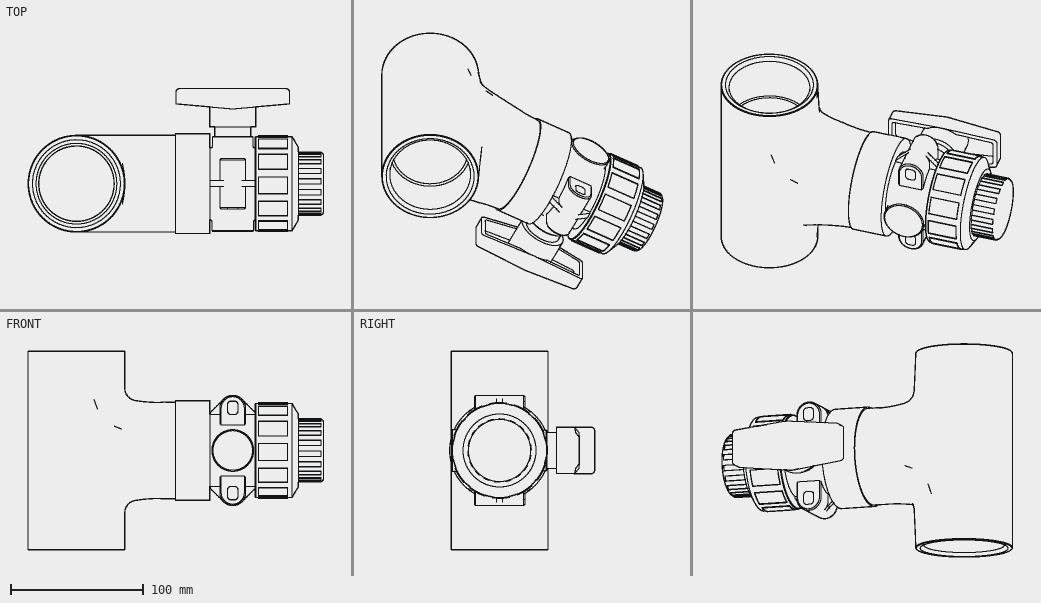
import cadquery as cq
import math


RUN_LENGTH = 149.86
PIPE_RADIUS = 36.5
BORE_RADIUS = 28.3
SOCKET_RADIUS = 30.4
SOCKET_DEPTH = 36.5
LEAD_IN_RADIUS = 33.1
LEAD_IN_DEPTH = 2.5
RIM_CHAMFER = 0.5
BRANCH_END_X = 74.4

CROTCH_START_Z = RUN_LENGTH / 2 - RIM_CHAMFER
SIDE_CORNER = (19.2, 22.0)
SIDE_BEND_LENGTH = 10.0
CROTCH_RADIUS = 8.5
CROTCH_TOP_Z = 37.9
CROTCH_SWEEP = 82.0
CROTCH_TAPER_END_X = 62.0
CROTCH_STEPS = 6
CROTCH_OVERLAP = 5.0

OVERALL_LENGTH = 222.48
VALVE_END_X = OVERALL_LENGTH - PIPE_RADIUS
COLLAR_RADIUS = 37.6
COLLAR_END_X = 100.4
BODY_RADIUS = 27.1
STEM_X = 117.65

NUT_START_X = 134.5
NUT_CONE_START_X = 162.3
NUT_END_X = 167.1
NUT_RADIUS = 35.5
NUT_END_RADIUS = 27.5
NUT_CHAMFER = 0.5
NUT_PAD_COUNT = 12
NUT_PAD_ANGLE = 20.5
NUT_PAD_PHASE = 2.0
NUT_PAD_START_X = 137.0
NUT_PAD_END_X = 159.0
NUT_PAD_RADIUS = 36.1

TAIL_RADIUS = 23.4
TAIL_FILLET = 2.0
TAIL_RIB_COUNT = 18
TAIL_RIB_PHASE = 6.0
TAIL_RIB_RADIUS = 23.9
TAIL_RIB_END_X = VALVE_END_X - TAIL_FILLET

BOSS_RADIUS = 15.7
BOSS_END_Y = -36.1
BOSS_CHAMFER = 0.8
BOSS_DISH_RADIUS = 12.9
BOSS_DISH_EDGE_RADIUS = 11.6
BOSS_DISH_EDGE_DEPTH = 0.4
BOSS_DISH_FLOOR_RADIUS = 10.4
BOSS_DISH_DEPTH = 0.6
BOSS_ROOT_FILLET = 1.8
BONNET_RADIUS = 15.3
BONNET_END_Y = 35.6
BONNET_CHAMFER = 0.5
BONNET_ROOT_FILLET = 1.0
STEM_RADIUS = 13.7
HUB_RADIUS = 17.5
HUB_START_Y = 42.8

OVERALL_DEPTH = 109.31
HANDLE_TOP_Y = OVERALL_DEPTH - COLLAR_RADIUS
HANDLE_LENGTH = 85.8
HANDLE_MID_WIDTH = 35.6
HANDLE_END_WIDTH = 26.6
HANDLE_END_Y = 60.0
HANDLE_MID_Y = 56.2
HANDLE_FILLET = 3.0
HANDLE_MID_FILLET = 22.0
HANDLE_WALL = 3.0
HANDLE_POCKET_FILLET = 2.0

LUG_RADIUS = 9.7
LUG_CENTRE_Z = 31.8
LUG_CHAMFER = 1.0
LUG_SLOT_Z = 32.1
LUG_LENGTH = 38.0
LUG_SLOT_WIDTH = 7.8
LUG_SLOT_HEIGHT = 9.8
LUG_SLOT_CORNER = 2.5
WEB_THICKNESS = 4.6

JOINT_OVERLAP = 1.0

Y_AXIS = cq.Vector(0, 1, 0)


def cylinder_x(radius, start_x, end_x):
    return cq.Workplane("YZ", origin=(start_x, 0, 0)).circle(radius).extrude(end_x - start_x)


def cylinder_y(radius, start_y, end_y):
    solid = cq.Solid.makeCylinder(radius, end_y - start_y, cq.Vector(STEM_X, start_y, 0), Y_AXIS)
    return cq.Workplane(solid)


def ring_sector_x(inner, outer, start_x, end_x, mid_angle, span):
    """Block between two radii about X, centred on mid_angle measured from +Y towards +Z."""

    def point(radius, angle):
        return (radius * math.cos(math.radians(angle)), radius * math.sin(math.radians(angle)))

    first = mid_angle - span / 2
    last = mid_angle + span / 2
    return (
        cq.Workplane("YZ", origin=(start_x, 0, 0))
        .moveTo(*point(inner, first))
        .lineTo(*point(outer, first))
        .threePointArc(point(outer, mid_angle), point(outer, last))
        .lineTo(*point(inner, last))
        .close()
        .extrude(end_x - start_x)
    )


def between(start, end, share):
    """Point at the given share of the way from start to end."""
    return tuple((1 - share) * a + share * b for a, b in zip(start, end))


def crotch_stations():
    """Pairs of (side, middle) XZ points; each pair carries one half-ellipse of the crotch skin."""
    side_top = (0, CROTCH_START_Z)
    side_tip = (BRANCH_END_X, 0)
    middle_top = (PIPE_RADIUS, CROTCH_START_Z)
    middle_tip = (BRANCH_END_X, PIPE_RADIUS)
    bend_centre = (PIPE_RADIUS + CROTCH_RADIUS, CROTCH_TOP_Z + CROTCH_RADIUS)
    bend_start = between(SIDE_CORNER, side_top, SIDE_BEND_LENGTH / math.dist(SIDE_CORNER, side_top))
    bend_end = between(SIDE_CORNER, side_tip, SIDE_BEND_LENGTH / math.dist(SIDE_CORNER, side_tip))
    taper_end_share = (CROTCH_TAPER_END_X - bend_end[0]) / (BRANCH_END_X - bend_end[0])
    side_taper_end = between(bend_end, side_tip, taper_end_share)
    shares = [step / CROTCH_STEPS for step in range(CROTCH_STEPS + 1)]

    middle_bend_start = (PIPE_RADIUS, bend_centre[1])
    stations = [
        (between(side_top, bend_start, share), between(middle_top, middle_bend_start, share))
        for share in shares
    ]
    for share in shares[1:]:
        side = between(
            between(bend_start, SIDE_CORNER, share), between(SIDE_CORNER, bend_end, share), share
        )
        angle = math.radians(180 + share * CROTCH_SWEEP)
        middle = (
            bend_centre[0] + CROTCH_RADIUS * math.cos(angle),
            bend_centre[1] + CROTCH_RADIUS * math.sin(angle),
        )
        stations.append((side, middle))
    taper_x, taper_z = stations[-1][1]
    for share in shares[1:]:
        side = between(bend_end, side_taper_end, share)
        middle_x = taper_x + share * (CROTCH_TAPER_END_X - taper_x)
        middle_z = PIPE_RADIUS + (taper_z - PIPE_RADIUS) * (1 - share) ** 2
        stations.append((side, (middle_x, middle_z)))
    stations.append((side_tip, middle_tip))
    return stations


def crotch_section(side, middle):
    """Half-ellipse bulging from the side line to the middle, with a strip reaching into the core."""
    reach = cq.Vector(middle[0] - side[0], 0, middle[1] - side[1])
    plane = cq.Plane(
        origin=(side[0], 0, side[1]), xDir=reach.normalized(), normal=reach.cross(Y_AXIS).normalized()
    )
    return (
        cq.Workplane(plane)
        .moveTo(-CROTCH_OVERLAP, -PIPE_RADIUS)
        .lineTo(0, -PIPE_RADIUS)
        .ellipseArc(reach.Length, PIPE_RADIUS, -90, 90, startAtCurrent=True)
        .lineTo(-CROTCH_OVERLAP, PIPE_RADIUS)
        .close()
        .val()
    )


def make_tee():
    sections = [crotch_section(side, middle) for side, middle in crotch_stations()]
    quadrant = cq.Workplane("XY").box(
        BRANCH_END_X, 2 * PIPE_RADIUS, CROTCH_START_Z, centered=(False, True, False)
    )
    crotch = cq.Workplane(cq.Solid.makeLoft(sections)).intersect(quadrant)

    corner_x, corner_z = SIDE_CORNER
    core = (
        cq.Workplane("XZ")
        .polyline([
            (0, CROTCH_START_Z),
            (corner_x, corner_z),
            (BRANCH_END_X, 0),
            (corner_x, -corner_z),
            (0, -CROTCH_START_Z),
        ])
        .close()
        .extrude(PIPE_RADIUS, both=True)
    )
    run = cq.Workplane("XY").circle(PIPE_RADIUS).extrude(RUN_LENGTH / 2, both=True)
    run = run.faces("<Z or >Z").chamfer(RIM_CHAMFER)
    return run.union(core).union(crotch).union(crotch.mirror("XY"))


def run_bore():
    half = RUN_LENGTH / 2
    ledge_z = half - SOCKET_DEPTH
    lead_in_z = half - LEAD_IN_DEPTH
    return (
        cq.Workplane("XZ")
        .polyline([
            (0, -half),
            (LEAD_IN_RADIUS, -half),
            (SOCKET_RADIUS, -lead_in_z),
            (SOCKET_RADIUS, -ledge_z),
            (BORE_RADIUS, -ledge_z),
            (BORE_RADIUS, ledge_z),
            (SOCKET_RADIUS, ledge_z),
            (SOCKET_RADIUS, lead_in_z),
            (LEAD_IN_RADIUS, half),
            (0, half),
        ])
        .close()
        .revolve(360, (0, 0, 0), (0, 1, 0))
    )


def join_with_root(barrel, branch, radius, start_y, end_y):
    """Union of barrel and branch with the curved edge where they meet, between two Y, filleted."""
    root_box = cq.selectors.BoxSelector(
        (STEM_X - BODY_RADIUS, start_y, -BODY_RADIUS),
        (STEM_X + BODY_RADIUS, end_y, BODY_RADIUS),
    )
    joined = barrel.union(branch)
    return joined.edges("not(%CIRCLE or %LINE)").edges(root_box).fillet(radius)


def make_body():
    """Valve barrel with the blended boss, the bonnet and the collar facing the tee."""
    barrel = cylinder_x(BODY_RADIUS, COLLAR_END_X - JOINT_OVERLAP, NUT_START_X + JOINT_OVERLAP)
    boss = cylinder_y(BOSS_RADIUS, BOSS_END_Y, 0).faces("<Y").chamfer(BOSS_CHAMFER)
    dish = (
        cq.Workplane("XY", origin=(STEM_X, BOSS_END_Y, 0))
        .polyline([
            (0, 0),
            (BOSS_DISH_RADIUS, 0),
            (BOSS_DISH_EDGE_RADIUS, BOSS_DISH_EDGE_DEPTH),
            (BOSS_DISH_FLOOR_RADIUS, BOSS_DISH_DEPTH),
            (0, BOSS_DISH_DEPTH),
        ])
        .close()
        .revolve(360, (0, 0, 0), (0, 1, 0))
    )
    bonnet = cylinder_y(BONNET_RADIUS, 0, BONNET_END_Y).faces(">Y").chamfer(BONNET_CHAMFER)
    collar = cylinder_x(COLLAR_RADIUS, BRANCH_END_X, COLLAR_END_X)
    valve = join_with_root(barrel, bonnet, BONNET_ROOT_FILLET, 0, BODY_RADIUS)
    valve = join_with_root(valve, boss, BOSS_ROOT_FILLET, -BODY_RADIUS, 0)
    return valve.cut(dish).union(collar)


def make_lug():
    """Lug on the +Z side: round-topped block and a web tangent to its top."""
    lug = (
        cq.Workplane("XZ", origin=(STEM_X, LUG_LENGTH / 2, 0))
        .moveTo(-LUG_RADIUS, 0)
        .lineTo(-LUG_RADIUS, LUG_CENTRE_Z)
        .threePointArc((0, LUG_CENTRE_Z + LUG_RADIUS), (LUG_RADIUS, LUG_CENTRE_Z))
        .lineTo(LUG_RADIUS, 0)
        .close()
        .extrude(LUG_LENGTH)
        .faces("<Y or >Y")
        .edges()
        .chamfer(LUG_CHAMFER)
    )
    tangent = LUG_RADIUS * math.sqrt(0.5)
    web_top_z = LUG_CENTRE_Z + tangent
    foot_half_length = (NUT_START_X - COLLAR_END_X) / 2
    foot_z = web_top_z - (foot_half_length - tangent)
    web = (
        cq.Workplane("XZ", origin=(STEM_X, 0, 0))
        .polyline([
            (-foot_half_length, 0),
            (-foot_half_length, foot_z),
            (-tangent, web_top_z),
            (tangent, web_top_z),
            (foot_half_length, foot_z),
            (foot_half_length, 0),
        ])
        .close()
        .extrude(WEB_THICKNESS / 2, both=True)
    )
    return lug.union(web)


def lug_slot():
    return (
        cq.Workplane("XY")
        .box(LUG_SLOT_WIDTH, 2 * COLLAR_RADIUS, LUG_SLOT_HEIGHT)
        .edges("|Y")
        .fillet(LUG_SLOT_CORNER)
        .translate((STEM_X, 0, LUG_SLOT_Z))
    )


def make_nut():
    nut = (
        cq.Workplane("XY")
        .polyline([
            (NUT_START_X, 0),
            (NUT_START_X, NUT_RADIUS - NUT_CHAMFER),
            (NUT_START_X + NUT_CHAMFER, NUT_RADIUS),
            (NUT_CONE_START_X, NUT_RADIUS),
            (NUT_END_X, NUT_END_RADIUS),
            (NUT_END_X, 0),
        ])
        .close()
        .revolve(360, (0, 0, 0), (1, 0, 0))
    )
    for index in range(NUT_PAD_COUNT):
        angle = NUT_PAD_PHASE + index * 360 / NUT_PAD_COUNT
        pad = ring_sector_x(
            BODY_RADIUS, NUT_PAD_RADIUS, NUT_PAD_START_X, NUT_PAD_END_X, angle, NUT_PAD_ANGLE
        )
        nut = nut.union(pad)
    return nut


def make_tail():
    start_x = NUT_END_X - JOINT_OVERLAP
    tail = cylinder_x(TAIL_RADIUS, start_x, VALVE_END_X).faces(">X").edges().fillet(TAIL_FILLET)
    pitch = 360 / TAIL_RIB_COUNT
    for index in range(TAIL_RIB_COUNT):
        angle = TAIL_RIB_PHASE + index * pitch
        rib = ring_sector_x(
            TAIL_RADIUS / 2, TAIL_RIB_RADIUS, start_x, TAIL_RIB_END_X, angle, pitch / 2
        )
        tail = tail.union(rib)
    return tail


def handle_outline(inset):
    """Six-sided plan of the handle in XZ, widest at the stem, pulled in by the inset."""
    half_length = HANDLE_LENGTH / 2 - inset
    half_mid = HANDLE_MID_WIDTH / 2 - inset
    half_end = HANDLE_END_WIDTH / 2 - inset
    return [
        (half_length, half_end),
        (0, half_mid),
        (-half_length, half_end),
        (-half_length, -half_end),
        (0, -half_mid),
        (half_length, -half_end),
    ]


def make_handle():
    """Hollow two-armed handle, open towards the valve, with its hub and stem."""
    top = cq.Workplane("XZ", origin=(STEM_X, HANDLE_TOP_Y, 0))
    height = HANDLE_TOP_Y - HANDLE_MID_Y
    grip = top.polyline(handle_outline(0)).close().extrude(height)
    grip = grip.edges("|Y and (>X or <X)").fillet(HANDLE_FILLET)
    grip = grip.edges("|Y and (>Z or <Z)").fillet(HANDLE_MID_FILLET)
    grip = grip.faces(">Y").edges().fillet(HANDLE_FILLET)
    pocket = (
        top.workplane(offset=HANDLE_WALL)
        .polyline(handle_outline(HANDLE_WALL))
        .close()
        .extrude(height)
        .edges("|Y and (>X or <X)")
        .fillet(HANDLE_POCKET_FILLET)
    )
    underside = (
        cq.Workplane("XY", origin=(STEM_X, 0, 0))
        .polyline([
            (0, HANDLE_MID_Y),
            (HANDLE_LENGTH / 2, HANDLE_END_Y),
            (HANDLE_LENGTH / 2, HANDLE_MID_Y),
            (-HANDLE_LENGTH / 2, HANDLE_MID_Y),
            (-HANDLE_LENGTH / 2, HANDLE_END_Y),
        ])
        .close()
        .extrude(HANDLE_MID_WIDTH, both=True)
    )
    hub = cylinder_y(HUB_RADIUS, HUB_START_Y, HANDLE_TOP_Y - HANDLE_WALL)
    stem = cylinder_y(STEM_RADIUS, 0, HUB_START_Y + JOINT_OVERLAP)
    return grip.cut(pocket).cut(underside).union(hub).union(stem)


lug = make_lug()
slot = lug_slot()
result = make_body().union(lug).union(lug.mirror("XY")).cut(slot).cut(slot.mirror("XY"))
result = result.union(make_nut()).union(make_tail()).union(make_handle())
result = result.union(make_tee().cut(run_bore()))